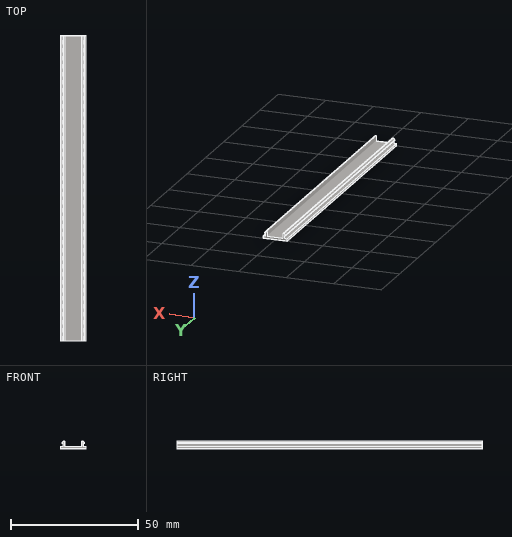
import cadquery as cq

length = 120.0
base_width = 10.1
total_height = 3.2

base_height = 1.0

lip_inner_x = 3.3
lip_thickness = 0.75
foot_radius = 0.2

crest_outer_x = 3.8
barb_overhang = 0.35
barb_upper_z = 2.45
barb_lower_z = 2.2
barb_root_z = 2.1

crest_radius = 0.37


def make_base():
    """Flat strip centred on X and Y, resting on Z = 0."""
    return cq.Workplane("XY").box(base_width, length, base_height, centered=(True, True, False))


def make_lip():
    """Barbed lip on the +X side, running the full length, filleted into the base on both sides."""
    lip_outer_x = lip_inner_x + lip_thickness
    barb_tip_x = lip_outer_x + barb_overhang
    foot_top_z = base_height + foot_radius
    profile = (
        cq.Workplane("XZ")
        .moveTo(lip_inner_x - foot_radius, 0)
        .lineTo(lip_inner_x - foot_radius, base_height)
        .radiusArc((lip_inner_x, foot_top_z), -foot_radius)
        .lineTo(lip_inner_x, total_height - crest_radius)
        .radiusArc((lip_inner_x + crest_radius, total_height), crest_radius)
        .lineTo(crest_outer_x, total_height)
        .lineTo(barb_tip_x, barb_upper_z)
        .lineTo(barb_tip_x, barb_lower_z)
        .lineTo(lip_outer_x, barb_root_z)
        .lineTo(lip_outer_x, foot_top_z)
        .radiusArc((lip_outer_x + foot_radius, base_height), -foot_radius)
        .lineTo(lip_outer_x + foot_radius, 0)
        .close()
    )
    return profile.extrude(length / 2, both=True)


lip = make_lip()
result = make_base().union(lip).union(lip.mirror("YZ"))